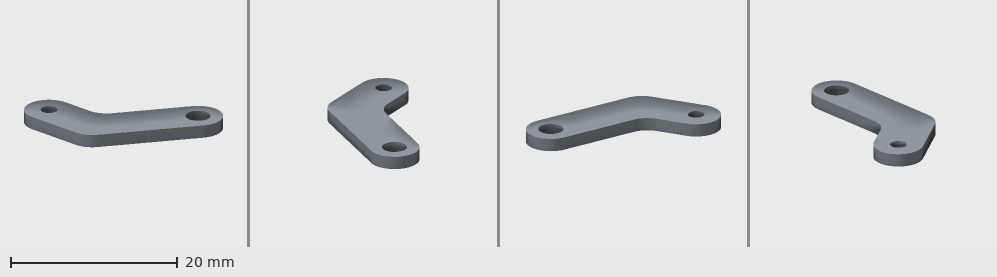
import cadquery as cq

thickness = 1.6
arm_width = 6.0
end_radius = arm_width / 2
inner_corner_radius = 3.0

small_hole_center = (-6.75, 1.85)
large_hole_center = (10.02, 8.27)
small_hole_diameter = 2.0
large_hole_diameter = 3.0

elbow = cq.Vector(0, 0, 0)


def arm(end_center):
    """Straight arm with round ends, running from the elbow to end_center."""
    end = cq.Vector(*end_center)
    along = end.normalized()
    side = cq.Vector(-along.y, along.x, 0) * end_radius
    beyond = along * end_radius
    return (
        cq.Workplane("XY")
        .moveTo(*(elbow + side).toTuple()[:2])
        .lineTo(*(end + side).toTuple()[:2])
        .threePointArc((end + beyond).toTuple()[:2], (end - side).toTuple()[:2])
        .lineTo(*(elbow - side).toTuple()[:2])
        .threePointArc((elbow - beyond).toTuple()[:2], (elbow + side).toTuple()[:2])
        .close()
        .extrude(thickness)
    )


def through_hole(center, diameter):
    return cq.Workplane("XY").center(*center).circle(diameter / 2).extrude(thickness)


body = arm(small_hole_center).union(arm(large_hole_center)).clean()

bisector = cq.Vector(*small_hole_center).normalized() + cq.Vector(*large_hole_center).normalized()
inner_side_point = bisector.normalized() * end_radius
inner_corner = (inner_side_point.x, inner_side_point.y, thickness / 2)
body = body.edges("|Z").edges(cq.NearestToPointSelector(inner_corner)).fillet(inner_corner_radius)

result = body.cut(through_hole(small_hole_center, small_hole_diameter)).cut(
    through_hole(large_hole_center, large_hole_diameter)
)